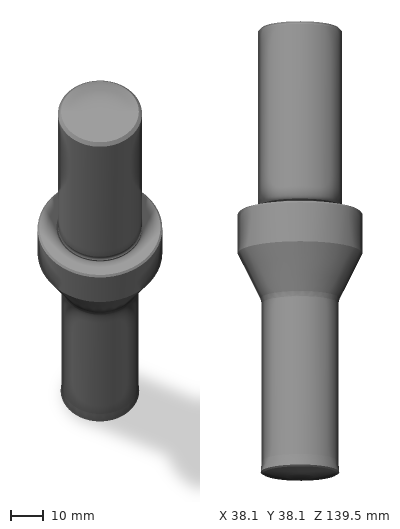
import cadquery as cq
import math

TOTAL_HEIGHT = 139.5
NECK_TOP = 83.7
COLLAR_TOP = 82.3
COLLAR_BOTTOM = 69.6
TAPER_BOTTOM = 54.8
LIP_TOP = 4.9
LIP_BOTTOM = 1.5

SHANK_RADIUS = 12.8
NECK_RADIUS = 12.3
COLLAR_RADIUS = 19.03
STEM_RADIUS = 11.7
LIP_RADIUS = 12.0
FOOT_RADIUS = 4.2

SHANK_TOP_CHAMFER = 1.0
SHANK_BOTTOM_CHAMFER_HEIGHT = 0.4
COLLAR_CHAMFER = 0.5
MOUTH_CHAMFER = 0.4
LIP_CHAMFER = 0.7
LIP_CHAMFER_HEIGHT = 0.4
TAPER_BLEND_RADIUS = 3.5

SELECT_MARGIN = 0.1

SOCKET_FLOOR = COLLAR_BOTTOM


def make_pin():
    """Chamfered shank with a short relieved neck that fillets out to the seated end."""
    fillet_radius = SHANK_RADIUS - NECK_RADIUS
    fillet_center_height = COLLAR_TOP + fillet_radius
    fillet_middle_offset = fillet_radius * math.sqrt(0.5)
    return (
        cq.Workplane("XZ")
        .moveTo(0, SOCKET_FLOOR)
        .lineTo(SHANK_RADIUS, SOCKET_FLOOR)
        .lineTo(SHANK_RADIUS, COLLAR_TOP)
        .threePointArc(
            (SHANK_RADIUS - fillet_middle_offset, fillet_center_height - fillet_middle_offset),
            (NECK_RADIUS, fillet_center_height),
        )
        .lineTo(NECK_RADIUS, NECK_TOP)
        .lineTo(SHANK_RADIUS, NECK_TOP + SHANK_BOTTOM_CHAMFER_HEIGHT)
        .lineTo(SHANK_RADIUS, TOTAL_HEIGHT - SHANK_TOP_CHAMFER)
        .lineTo(SHANK_RADIUS - SHANK_TOP_CHAMFER, TOTAL_HEIGHT)
        .lineTo(0, TOTAL_HEIGHT)
        .close()
        .revolve(360, (0, 0, 0), (0, 1, 0))
    )


def make_sleeve():
    """Collar with a chamfered socket, tapering to a stem with a flared lip and a conical foot."""
    profile = [
        (0, 0),
        (FOOT_RADIUS, 0),
        (LIP_RADIUS - LIP_CHAMFER, LIP_BOTTOM - LIP_CHAMFER_HEIGHT),
        (LIP_RADIUS, LIP_BOTTOM),
        (STEM_RADIUS, LIP_TOP),
        (STEM_RADIUS, TAPER_BOTTOM),
        (COLLAR_RADIUS, COLLAR_BOTTOM),
        (COLLAR_RADIUS, COLLAR_TOP - COLLAR_CHAMFER),
        (COLLAR_RADIUS - COLLAR_CHAMFER, COLLAR_TOP),
        (SHANK_RADIUS + MOUTH_CHAMFER, COLLAR_TOP),
        (SHANK_RADIUS, COLLAR_TOP - MOUTH_CHAMFER),
        (SHANK_RADIUS, SOCKET_FLOOR),
        (0, SOCKET_FLOOR),
    ]
    sleeve = (
        cq.Workplane("XZ")
        .polyline(profile)
        .close()
        .revolve(360, (0, 0, 0), (0, 1, 0))
    )
    taper_end = cq.selectors.BoxSelector(
        (-COLLAR_RADIUS, -COLLAR_RADIUS, TAPER_BOTTOM - SELECT_MARGIN),
        (COLLAR_RADIUS, COLLAR_RADIUS, TAPER_BOTTOM + SELECT_MARGIN),
    )
    return sleeve.edges("%CIRCLE").edges(taper_end).fillet(TAPER_BLEND_RADIUS)


pin = make_pin()
sleeve = make_sleeve()

result = cq.Compound.makeCompound([pin.val(), sleeve.val()])